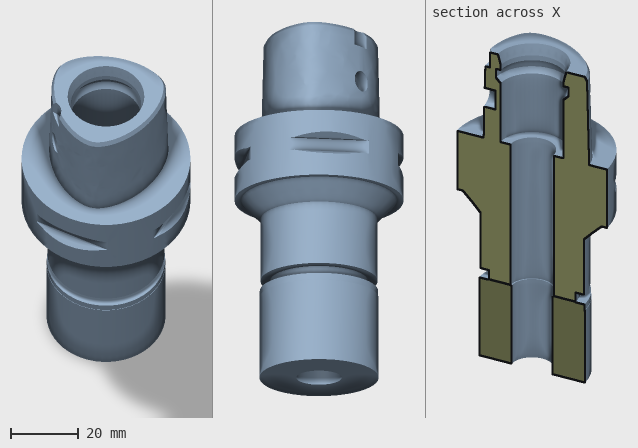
import cadquery as cq
import math

TOTAL_HEIGHT = 105.0
NUT_HEIGHT = 26.9
NUT_SKIRT_HEIGHT = 24.8
GROOVE_TOP = 30.0
NECK_TOP = 49.1
FLANGE_BOTTOM = 55.0
FLANGE_TOP = 75.2

NUT_RADIUS = 17.6
NUT_COLLAR_RADIUS = 17.5
GROOVE_RADIUS = 14.5
NECK_RADIUS = 17.3
CONE_RADIUS = 23.1
FLANGE_RADIUS = 25.0

SHANK_BASE_RADIUS = 17.6
SHANK_TAPER = 1 / 40
LOBE_HEIGHT = 1.4
SHANK_EDGE_INSET = 0.7
SHANK_EDGE_HEIGHT = 1.3

SOCKET_MOUTH_RADIUS = 11.3
SOCKET_RADIUS = 10.4
SOCKET_GROOVE_RADIUS = 12.0
MOUTH_DEPTH = 3.6
SOCKET_GROOVE_START = 5.2
SOCKET_GROOVE_WALL_END = 8.2
SOCKET_GROOVE_END = SOCKET_GROOVE_WALL_END + SOCKET_GROOVE_RADIUS - SOCKET_RADIUS
SOCKET_DEPTH = TOTAL_HEIGHT - FLANGE_TOP
HOLDER_BORE_RADIUS = 7.1
NUT_BORE_RADIUS = 6.7

KEYWAY_RADIUS = 3.8
KEYWAY_DEPTH = 5.1
KEYWAY_INNER_Y = 14.1
SIDE_HOLE_RADIUS = 3.2
SIDE_HOLE_Z = 89.0
SIDE_HOLE_FLOOR_Y = 12.3

SLOT_COUNT = 4
SLOT_FLOOR_DISTANCE = 21.9
SLOT_FLOOR_HEIGHT = 4.0
SLOT_WALL_DEPTH = 0.8
SLOT_MOUTH_HEIGHT = 6.7
SLOT_CENTER_Z = 65.1


def lobed_wire(radius, z):
    """Closed three-lobed outline with one lobe pointing along +Y."""
    def point(angle):
        reach = radius * math.cos(angle) + LOBE_HEIGHT * (2 * math.cos(2 * angle) - math.cos(4 * angle))
        offset = radius * math.sin(angle) - LOBE_HEIGHT * (2 * math.sin(2 * angle) + math.sin(4 * angle))
        return cq.Vector(-offset, reach, z)

    samples = 48
    points = [point(2 * math.pi * i / samples) for i in range(samples)]
    return cq.Wire.assembleEdges([cq.Edge.makeSpline(points, periodic=True)])


def make_shank():
    """Tapered lobed shank with a bevelled top edge."""
    edge_z = TOTAL_HEIGHT - SHANK_EDGE_HEIGHT
    edge_radius = SHANK_BASE_RADIUS - SHANK_TAPER * (edge_z - FLANGE_TOP)
    base = lobed_wire(SHANK_BASE_RADIUS, FLANGE_TOP)
    edge = lobed_wire(edge_radius, edge_z)
    top = lobed_wire(edge_radius - SHANK_EDGE_INSET, TOTAL_HEIGHT)
    taper = cq.Solid.makeLoft([base, edge], True)
    bevel = cq.Solid.makeLoft([edge, top], True)
    return cq.Workplane(taper).union(cq.Workplane(bevel))


def revolve_profile(points):
    """Solid of revolution about Z from (radius, height) points."""
    return cq.Workplane("XZ").polyline(points).close().revolve(360, (0, 0, 0), (0, 1, 0))


def make_holder_blank():
    """Groove, neck, cone and flange below the shank."""
    return revolve_profile([
        (0, NUT_HEIGHT),
        (GROOVE_RADIUS, NUT_HEIGHT),
        (GROOVE_RADIUS, GROOVE_TOP),
        (NECK_RADIUS, GROOVE_TOP),
        (NECK_RADIUS, NECK_TOP),
        (CONE_RADIUS, FLANGE_BOTTOM),
        (FLANGE_RADIUS, FLANGE_BOTTOM),
        (FLANGE_RADIUS, FLANGE_TOP),
        (0, FLANGE_TOP),
    ])


def make_socket_cutter():
    """Conical mouth, undercut groove, socket and passage as one cutter."""
    return revolve_profile([
        (0, TOTAL_HEIGHT),
        (SOCKET_MOUTH_RADIUS, TOTAL_HEIGHT),
        (SOCKET_RADIUS, TOTAL_HEIGHT - MOUTH_DEPTH),
        (SOCKET_RADIUS, TOTAL_HEIGHT - SOCKET_GROOVE_START),
        (SOCKET_GROOVE_RADIUS, TOTAL_HEIGHT - SOCKET_GROOVE_START),
        (SOCKET_GROOVE_RADIUS, TOTAL_HEIGHT - SOCKET_GROOVE_WALL_END),
        (SOCKET_RADIUS, TOTAL_HEIGHT - SOCKET_GROOVE_END),
        (SOCKET_RADIUS, TOTAL_HEIGHT - SOCKET_DEPTH),
        (HOLDER_BORE_RADIUS, TOTAL_HEIGHT - SOCKET_DEPTH),
        (HOLDER_BORE_RADIUS, NUT_HEIGHT),
        (0, NUT_HEIGHT),
    ])


def make_keyway_cutter():
    """Upright round-backed notch open to the top face."""
    return (
        cq.Workplane("XY", origin=(0, -KEYWAY_INNER_Y - KEYWAY_RADIUS, TOTAL_HEIGHT - KEYWAY_DEPTH))
        .circle(KEYWAY_RADIUS)
        .extrude(KEYWAY_DEPTH)
    )


def make_side_hole_cutter():
    """Flat-bottomed hole entering from -Y; XZ extrusions run toward -Y."""
    return (
        cq.Workplane("XZ", origin=(0, -SIDE_HOLE_FLOOR_Y, SIDE_HOLE_Z))
        .circle(SIDE_HOLE_RADIUS)
        .extrude(SHANK_BASE_RADIUS - SIDE_HOLE_FLOOR_Y)
    )


def make_slot_cutter(angle):
    """Straight slot with a flat floor and sides that flare outward, facing the given angle."""
    half_floor = SLOT_FLOOR_HEIGHT / 2
    flare_start = SLOT_FLOOR_DISTANCE + SLOT_WALL_DEPTH
    half_mouth = SLOT_MOUTH_HEIGHT / 2
    return (
        cq.Workplane("XZ", origin=(0, 0, SLOT_CENTER_Z))
        .polyline([
            (SLOT_FLOOR_DISTANCE, -half_floor),
            (flare_start, -half_floor),
            (FLANGE_RADIUS, -half_mouth),
            (FLANGE_RADIUS, half_mouth),
            (flare_start, half_floor),
            (SLOT_FLOOR_DISTANCE, half_floor),
        ])
        .close()
        .extrude(FLANGE_RADIUS, both=True)
        .rotate((0, 0, 0), (0, 0, 1), angle)
    )


def make_holder():
    body = make_holder_blank().union(make_shank())
    body = body.cut(make_socket_cutter())
    body = body.cut(make_keyway_cutter())
    body = body.cut(make_side_hole_cutter())
    slot_pitch = 360 / SLOT_COUNT
    for i in range(SLOT_COUNT):
        body = body.cut(make_slot_cutter((i + 0.5) * slot_pitch))
    return body


def make_nut():
    """Clamping nut with a slightly smaller collar, seated under the holder."""
    return revolve_profile([
        (NUT_BORE_RADIUS, 0),
        (NUT_RADIUS, 0),
        (NUT_RADIUS, NUT_SKIRT_HEIGHT),
        (NUT_COLLAR_RADIUS, NUT_SKIRT_HEIGHT),
        (NUT_COLLAR_RADIUS, NUT_HEIGHT),
        (NUT_BORE_RADIUS, NUT_HEIGHT),
    ])


holder = make_holder()
nut = make_nut()
result = cq.Compound.makeCompound([holder.val(), nut.val()])